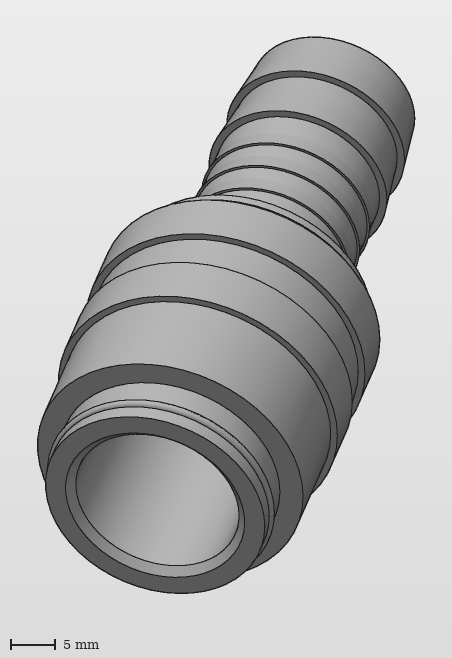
import cadquery as cq

length = 71.0

band_radius = 16.25
sleeve_radius = 15.5
collar_radius = 14.5
spigot_radius = 12.8
tail_radius = 9.5
barb_radius = 10.4
ridge_radius = 9.8

sleeve_start = 6.0
front_band_start = 17.05
rear_band_start = 28.05
band_width = 5.95
sleeve_end = 35.0
collar_end = 37.05

snap_ring_start = 1.8
snap_ring_width = 1.1
snap_ring_height = 0.4

barb_count = 2
barb_pitch = 7.0
ridge_count = 3
ridge_start = 44.0
ridge_pitch = 4.0
ridge_width = 2.0

through_radius = 6.5
socket_radius = 9.5
socket_mouth_radius = 10.45
mouth_taper_length = 0.9
socket_depth = rear_band_start


def cylinder(radius, start, end):
    """Solid cylinder on the Y axis from start to end."""
    return cq.Workplane("XZ", origin=(0, start, 0)).circle(radius).extrude(start - end)


def cone(start_radius, end_radius, start, end):
    """Solid truncated cone on the Y axis."""
    profile = cq.Workplane("XY").polyline([(0, start), (start_radius, start), (end_radius, end), (0, end)])
    return profile.close().revolve(360, (0, 0, 0), (0, 1, 0))


def snap_ring():
    """Rounded bead, with its crest at mid width, standing on the spigot."""
    end = snap_ring_start + snap_ring_width
    crest = (spigot_radius + snap_ring_height, snap_ring_start + snap_ring_width / 2)
    profile = (
        cq.Workplane("XY")
        .moveTo(0, snap_ring_start)
        .lineTo(spigot_radius, snap_ring_start)
        .threePointArc(crest, (spigot_radius, end))
        .lineTo(0, end)
        .close()
    )
    return profile.revolve(360, (0, 0, 0), (0, 1, 0))


def coupling_body():
    """Spigot, sleeve with two grip bands, and rear collar."""
    body = cylinder(spigot_radius, 0, sleeve_start).union(snap_ring())
    body = body.union(cylinder(sleeve_radius, sleeve_start, sleeve_end))
    for start in (front_band_start, rear_band_start):
        body = body.union(cylinder(band_radius, start, start + band_width))
    return body.union(cylinder(collar_radius, sleeve_end, collar_end))


def hose_tail():
    """Tube whose barbs and ridges taper down toward the hose end."""
    tail = cylinder(tail_radius, collar_end, length)
    for index in range(barb_count):
        end = length - index * barb_pitch
        tail = tail.union(cone(barb_radius, tail_radius, end - barb_pitch, end))
    for index in range(ridge_count):
        start = ridge_start + index * ridge_pitch
        tail = tail.union(cone(ridge_radius, tail_radius, start, start + ridge_width))
    return tail


def bore():
    """Through hole, wider socket and its tapered mouth."""
    socket = cylinder(socket_radius, 0, socket_depth)
    mouth = cone(socket_mouth_radius, socket_radius, 0, mouth_taper_length)
    return cylinder(through_radius, 0, length).union(socket).union(mouth)


result = coupling_body().union(hose_tail()).cut(bore())